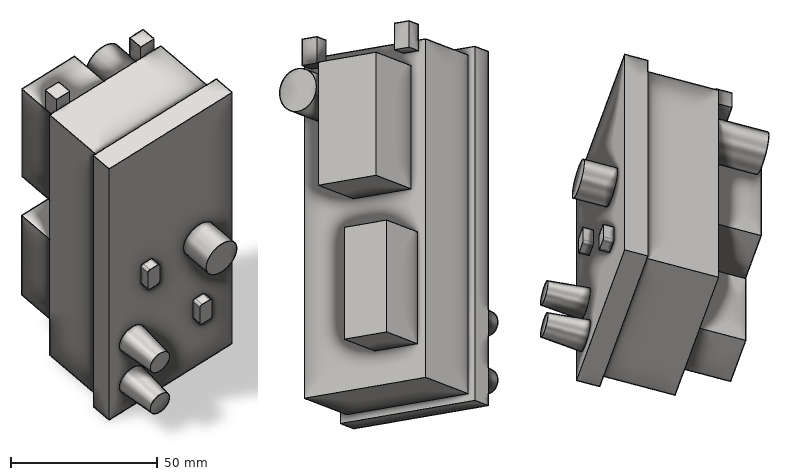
import cadquery as cq


bezel_depth, bezel_width, bezel_height = 8.3, 55.5, 125.5
housing_depth, housing_width, housing_height = 26.2, 50.0, 120.0
housing_back = -bezel_depth - housing_depth

tab_depth, tab_width, tab_height = 5.8, 6.0, 9.4
tab_offset_y = 19.0
tab_rise = 2.8
tab_z = bezel_height / 2 + tab_rise - tab_height / 2

large_box_depth, large_box_width, large_box_height = 21.7, 23.7, 43.6
large_box_y, large_box_z = -7.2, 29.5
small_box_depth, small_box_width, small_box_height = 18.9, 17.5, 39.7
small_box_y, small_box_z = -12.8, -27.7
can_diameter = 15.1
can_length = small_box_depth
can_y, can_z = 15.0, 43.6

knob_diameter, knob_length = 13.9, 12.0
knob_y, knob_z = 12.7, 0.0
peg_base_diameter, peg_tip_diameter, peg_length = 11.3, 8.7, 14.8
peg_y = -17.5
peg_heights = (-29.0, -49.5)
button_depth, button_width, button_height = 3.7, 5.4, 9.8
button_edge_radius = 1.0
button_centres = ((-10.8, knob_z), (knob_y, -33.6))


def block(back_x, depth, width, height, y=0.0, z=0.0):
    """Box starting at back_x and extending toward +X, centred on (y, z)."""
    return cq.Workplane("XY").box(depth, width, height).translate((back_x + depth / 2, y, z))


def round_post(start_x, diameter, length, y, z):
    """Cylinder along X starting at start_x and extending toward +X."""
    return cq.Workplane("YZ", origin=(start_x, y, z)).circle(diameter / 2).extrude(length)


def tapered_peg(y, z):
    """Peg on the panel face, narrowing toward its tip."""
    base = cq.Workplane("YZ", origin=(0, y, z)).circle(peg_base_diameter / 2)
    return base.workplane(offset=peg_length).circle(peg_tip_diameter / 2).loft(ruled=True)


def button(y, z):
    """Low rectangular button with rounded corners."""
    body = block(0, button_depth, button_width, button_height, y, z)
    return body.edges("|X").fillet(button_edge_radius)


result = block(-bezel_depth, bezel_depth, bezel_width, bezel_height)
result = result.union(block(housing_back, housing_depth, housing_width, housing_height))

for tab_y in (-tab_offset_y, tab_offset_y):
    tab = block(housing_back - tab_depth, tab_depth, tab_width, tab_height, tab_y, tab_z)
    result = result.union(tab)

large_box = block(
    housing_back - large_box_depth, large_box_depth, large_box_width, large_box_height,
    large_box_y, large_box_z,
)
small_box = block(
    housing_back - small_box_depth, small_box_depth, small_box_width, small_box_height,
    small_box_y, small_box_z,
)
can = round_post(housing_back - can_length, can_diameter, can_length, can_y, can_z)
result = result.union(large_box).union(small_box).union(can)

result = result.union(round_post(0, knob_diameter, knob_length, knob_y, knob_z))
for peg_z in peg_heights:
    result = result.union(tapered_peg(peg_y, peg_z))
for button_y, button_z in button_centres:
    result = result.union(button(button_y, button_z))